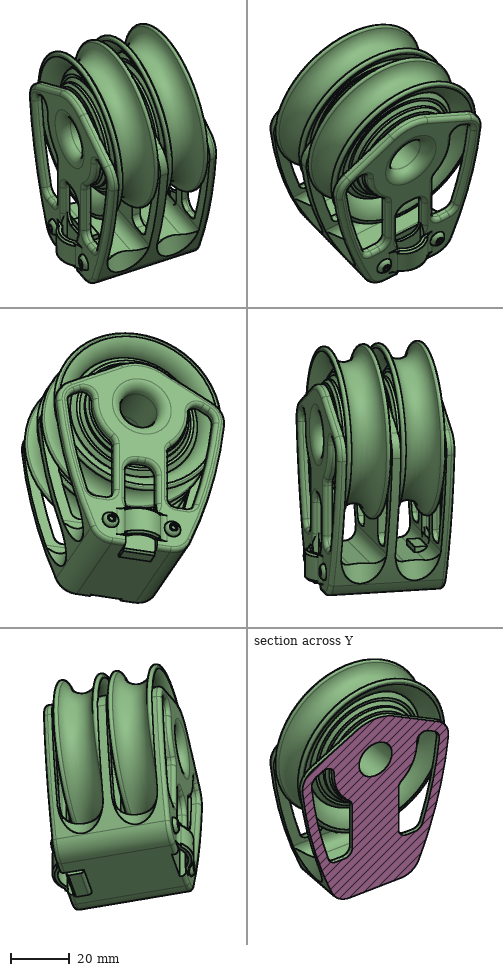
import cadquery as cq
import math


frame_half_depth = 20.6
plate_thickness = 3.1
middle_plate_thickness = 3.05
frame_half_width = 29.91
frame_bottom = -53.6
corner_radius = 8.0
shoulder_z = -1.4
foot_x = 10.4
apex_radius = 16.1
apex_z = 0.9
side_radius = 161.2
edge_fillet = 1.5

bay_inner = middle_plate_thickness / 2
bay_outer = frame_half_depth - plate_thickness
bay_width = bay_outer - bay_inner
bay_center = (bay_outer + bay_inner) / 2
block_top = -41.9
bay_fillet = 4.3

scoop_radius = bay_width / 2
scoop_tilt = 19.0
scoop_axis_x = 24.1
scoop_half_length = 11.9

rim_width = 3.945
hub_radius = 17.0
strap_half_width = 9.545
window_bottom = -36.3
window_corner_radius = 3.1

slot_half_width = 5.56
slot_top = -21.0
slot_bottom = -40.4
slot_corner_radius = 4.25
channel_floor = 18.5

bore_radius = 13.2 / 2
bore_mouth_radius = 21.0 / 2

sheave_radius = 29.8
sheave_half_width = 7.7
rim_tip_width = 1.7
groove_radius = 6.1
groove_bottom_radius = 24.1
web_thickness = 1.9
recess_floor_half_width = 2.55
seal_half_width = 4.1
seal_outer_radius = 20.9
seal_inner_radius = 19.85
bearing_radius = 37.0 / 2
bearing_shoulder_half_width = 5.3
bearing_half_width = 6.3
bearing_chamfer = 1.0
washer_radius = 15.8

saddle_top = -40.6
saddle_bottom = -50.5
arch_center_y = 15.8
arch_outer_radius = 8.7
arch_inner_radius = 6.8
arch_edge_chamfer = 0.8
ear_half_width = 8.9
screw_x = 11.0
screw_z = -45.4
screw_head_radius = 2.9
screw_top_radius = 1.45
screw_head_height = 1.485
screw_dome_radius = 2.42
screw_dome_height = 0.89
socket_width = 2.2
socket_depth = 0.85

tongue_inner = 12.3
tongue_top = -40.0
tongue_bottom = -55.1
tongue_fillet = 1.3
tongue_chamfer = 0.8

through_length = 169.7


def around(center, radius, angle):
    """Point on a circle, angle in radians from the first axis."""
    return (center[0] + radius * math.cos(angle), center[1] + radius * math.sin(angle))


def mirror_x(point):
    return (-point[0], point[1])


def frame_outline(inset):
    """Closed frame outline in XZ, moved inward by inset; tangent arcs and lines."""
    corner = corner_radius - inset
    apex = apex_radius - inset
    side = side_radius - inset
    apex_center = (0, apex_z)
    shoulder_center = (frame_half_width - corner_radius, shoulder_z)
    foot_center = (foot_x, frame_bottom + corner_radius)

    shoulder_rise = shoulder_center[1] - apex_center[1]
    shoulder_distance = math.hypot(shoulder_center[0], shoulder_rise)
    slope_normal = math.atan2(shoulder_rise, shoulder_center[0])
    slope_normal += math.acos((apex - corner) / shoulder_distance)

    run = shoulder_center[0] - foot_center[0]
    rise = shoulder_center[1] - foot_center[1]
    side_normal = math.atan2(-run, rise)
    half_sweep = math.asin(math.hypot(run, rise) / 2 / (side - corner))
    side_start = side_normal + half_sweep
    side_end = side_normal - half_sweep
    side_center = around(shoulder_center, corner - side, side_start)

    apex_end = around(apex_center, apex, slope_normal)
    shoulder_start = around(shoulder_center, corner, slope_normal)
    shoulder_mid = around(shoulder_center, corner, (slope_normal + side_start) / 2)
    shoulder_end = around(shoulder_center, corner, side_start)
    side_mid = around(side_center, side, side_normal)
    foot_start = around(foot_center, corner, side_end)
    foot_mid = around(foot_center, corner, (side_end - math.pi / 2) / 2)
    foot_end = around(foot_center, corner, -math.pi / 2)

    return (
        cq.Workplane("XZ")
        .moveTo(*mirror_x(apex_end))
        .threePointArc((0, apex_z + apex), apex_end)
        .lineTo(*shoulder_start)
        .threePointArc(shoulder_mid, shoulder_end)
        .threePointArc(side_mid, foot_start)
        .threePointArc(foot_mid, foot_end)
        .lineTo(*mirror_x(foot_end))
        .threePointArc(mirror_x(foot_mid), mirror_x(foot_start))
        .threePointArc(mirror_x(side_mid), mirror_x(shoulder_end))
        .threePointArc(mirror_x(shoulder_mid), mirror_x(shoulder_start))
        .close()
    )


def box_between(x_range, y_range, z_range):
    """Box given by its low and high limits along each axis."""
    ranges = (x_range, y_range, z_range)
    sizes = [high - low for low, high in ranges]
    return cq.Workplane("XY").box(*sizes, centered=False).translate([low for low, _ in ranges])


def bay(center_y):
    """Space for one sheave, with rounded lower edges and scooped block ends."""
    half_length = through_length / 2
    tilt = math.radians(scoop_tilt)
    y_range = (center_y - bay_width / 2, center_y + bay_width / 2)
    space = box_between((-half_length, half_length), y_range, (block_top, half_length))
    space = space.edges("|X and <Z").fillet(bay_fillet)
    scoop_plane = cq.Plane(
        origin=(scoop_axis_x, center_y, block_top),
        xDir=(0, 1, 0),
        normal=(-math.sin(tilt), 0, math.cos(tilt)),
    )
    scoop = (
        cq.Workplane(scoop_plane)
        .moveTo(-scoop_radius, 0)
        .threePointArc((0, scoop_radius), (scoop_radius, 0))
        .lineTo(scoop_radius, -frame_half_width)
        .lineTo(-scoop_radius, -frame_half_width)
        .close()
        .extrude(scoop_half_length, both=True)
    )
    return space.union(scoop).union(scoop.mirror("YZ"))


def window():
    """Opening on the +X side, between the rim, the hub and the central strap."""
    half_length = through_length / 2
    limits = box_between(
        (strap_half_width, half_length), (-half_length, half_length), (window_bottom, apex_radius)
    )
    hub = cq.Workplane("XZ").circle(hub_radius).extrude(half_length, both=True)
    opening = frame_outline(rim_width).extrude(half_length, both=True).intersect(limits).cut(hub)
    opening = opening.solids(cq.selectors.NearestToPointSelector((strap_half_width, 0, window_bottom)))
    lower = opening.edges("|Y and <Z")
    opening = lower.fillet(window_corner_radius)
    strap_corner = cq.selectors.NearestToPointSelector(
        (strap_half_width, 0, -math.sqrt(hub_radius**2 - strap_half_width**2))
    )
    opening = opening.edges("|Y").edges(strap_corner).fillet(window_corner_radius)
    top_corner = cq.selectors.NearestToPointSelector((hub_radius, 0, hub_radius / 2))
    return opening.edges("|Y").edges(top_corner).fillet(window_corner_radius)


def slot():
    """Central slot through the -Y outer plate."""
    wall = box_between(
        (-slot_half_width, slot_half_width), (-frame_half_depth, -bay_outer), (slot_bottom, slot_top)
    )
    return wall.edges("|Y").fillet(slot_corner_radius)


def channel():
    """Shallow channel from the slot down to the bottom of the -Y plate."""
    x_range = (-slot_half_width, slot_half_width)
    z_range = (frame_bottom, slot_bottom + slot_corner_radius)
    return box_between(x_range, (-frame_half_depth, -channel_floor), z_range)


def frame():
    """Three plates and the bottom block in one piece."""
    plates = frame_outline(0).extrude(frame_half_depth, both=True)
    opening = window()
    plates = plates.cut(opening).cut(opening.mirror("YZ"))
    plates = plates.cut(slot()).cut(slot().mirror("XZ"))
    plates = plates.faces("<Y or >Y").edges().fillet(edge_fillet)
    plates = plates.cut(channel()).cut(channel().mirror("XZ"))
    return plates.cut(bay(bay_center)).cut(bay(-bay_center))


def sheave(center_y):
    """Grooved wheel with recessed sides, bearing and side washers."""
    groove_center = groove_bottom_radius + groove_radius
    tip_radius = rim_tip_width / 2
    tip_middle = sheave_half_width - tip_radius
    tip_inner = sheave_half_width - rim_tip_width
    tip_height = sheave_radius - tip_radius
    groove_edge = groove_center - math.sqrt(groove_radius**2 - tip_inner**2)
    recess_radius = groove_radius + web_thickness

    def recess_point(offset):
        return (groove_center - math.sqrt(recess_radius**2 - offset**2), offset)

    def opposite(point):
        return (point[0], -point[1])

    recess_rim = recess_point(sheave_half_width)
    recess_floor = recess_point(recess_floor_half_width)
    recess_mid = recess_point((sheave_half_width + recess_floor_half_width) / 2)
    groove_end = (groove_edge, tip_inner)
    tip_crown = (sheave_radius, tip_middle)
    tip_end = (tip_height, sheave_half_width)
    bearing_face = bearing_half_width + bearing_chamfer
    side_steps = [
        recess_floor,
        (seal_outer_radius, seal_half_width),
        (seal_inner_radius, seal_half_width),
        (bearing_radius, bearing_shoulder_half_width),
        (bearing_radius, bearing_half_width),
        (bearing_radius - bearing_chamfer, bearing_face),
        (washer_radius, bearing_face),
        (washer_radius, bay_width / 2),
        (0, bay_width / 2),
    ]

    return (
        cq.Workplane("XY")
        .moveTo(*opposite(groove_end))
        .threePointArc((groove_bottom_radius, 0), groove_end)
        .threePointArc(tip_crown, tip_end)
        .lineTo(*recess_rim)
        .threePointArc(recess_mid, recess_floor)
        .polyline(side_steps[1:], includeCurrent=True)
        .polyline([opposite(point) for point in reversed(side_steps)], includeCurrent=True)
        .threePointArc(opposite(recess_mid), opposite(recess_rim))
        .lineTo(*opposite(tip_end))
        .threePointArc(opposite(tip_crown), opposite(groove_end))
        .close()
        .revolve(360, (0, 0, 0), (0, 1, 0))
        .translate((0, center_y, 0))
    )


def axle_bore():
    """Through bore with a rounded mouth at both ends."""
    mouth = bore_mouth_radius - bore_radius
    throat = frame_half_depth - mouth
    sweep_mid = around((bore_mouth_radius, throat), mouth, math.radians(135))
    half = (
        cq.Workplane("XY")
        .lineTo(bore_radius, 0)
        .lineTo(bore_radius, throat)
        .threePointArc(sweep_mid, (bore_mouth_radius, frame_half_depth))
        .lineTo(0, frame_half_depth)
        .close()
        .revolve(360, (0, 0, 0), (0, 1, 0))
    )
    return half.union(half.mirror("XZ"))


def saddle():
    """Arched bridge over the slot channel on the +Y side, blended into the plate."""
    height = saddle_top - saddle_bottom
    plate_offset = frame_half_depth - arch_center_y
    blend_square = ear_half_width**2 + plate_offset**2 - arch_outer_radius**2
    blend_radius = blend_square / (2 * (arch_outer_radius - plate_offset))
    crown_y = arch_center_y + arch_outer_radius
    blend_center = (ear_half_width, frame_half_depth + blend_radius)
    join_angle = math.atan2(plate_offset + blend_radius, ear_half_width)
    join = around((0, arch_center_y), arch_outer_radius, join_angle)
    blend_mid = around(blend_center, blend_radius, (join_angle + math.pi + math.pi * 3 / 2) / 2)

    arch = (
        cq.Workplane("XY", origin=(0, 0, saddle_bottom))
        .moveTo(-ear_half_width, frame_half_depth)
        .threePointArc(mirror_x(blend_mid), mirror_x(join))
        .threePointArc((0, crown_y), join)
        .threePointArc(blend_mid, (ear_half_width, frame_half_depth))
        .close()
        .extrude(height)
    )
    ends = cq.Workplane("XY", origin=(0, arch_center_y, saddle_bottom))
    crown = ends.circle(arch_outer_radius).extrude(height).edges("%CIRCLE").chamfer(arch_edge_chamfer)
    wide = box_between((-join[0], join[0]), (join[1], crown_y), (saddle_bottom, saddle_top))
    arch = arch.cut(wide.cut(crown))
    return arch.cut(ends.circle(arch_inner_radius).extrude(height))


def screw(x):
    """Domed screw head with a hex socket on the +Y plate."""
    head = (
        cq.Workplane("XY")
        .lineTo(screw_head_radius, 0)
        .threePointArc((screw_dome_radius, screw_dome_height), (screw_top_radius, screw_head_height))
        .lineTo(0, screw_head_height)
        .close()
        .revolve(360, (0, 0, 0), (0, 1, 0))
    )
    socket = (
        cq.Workplane("XZ", origin=(0, screw_head_height, 0))
        .polygon(6, socket_width)
        .extrude(socket_depth)
    )
    return head.cut(socket).translate((x, frame_half_depth, screw_z))


def tongue():
    """Flat tongue through the block, projecting below it."""
    bar = box_between(
        (-slot_half_width, slot_half_width), (-channel_floor, -tongue_inner), (tongue_bottom, tongue_top)
    )
    bar = bar.edges("|X and <Z and >Y").fillet(tongue_fillet)
    return bar.faces("<Y").edges("<Z").chamfer(tongue_chamfer)


body = frame().union(sheave(bay_center)).union(sheave(-bay_center)).cut(axle_bore())

for fitting in (saddle(), screw(-screw_x), screw(screw_x)):
    body = body.union(fitting).union(fitting.mirror("XZ"))

result = body.union(tongue())